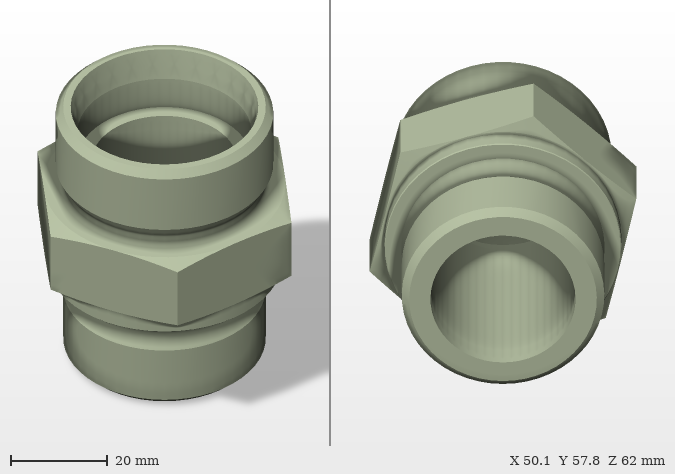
import cadquery as cq
import math

total_height = 62.0
bore_radius = 30.0 / 2

upper_stud_radius = 45.0 / 2
upper_thread_bottom = 47.25
socket_radius = 36.0 / 2
socket_mouth_radius = 19.4
socket_taper_depth = 6.65
socket_depth = 14.0
end_chamfer = 1.55

upper_neck_radius = 20.95
upper_fillet = 1.0

hex_across_flats = 50.05
hex_bottom = 26.1
hex_top = 42.05
hex_chamfer_angle = math.radians(15)

flange_radius = 49.0 / 2
flange_bottom = 22.0
flange_chamfer = 0.2

lower_stud_radius = 41.9 / 2
lower_thread_top = 14.45
lower_neck_radius = 19.2
lower_fillet = 1.35
lower_groove_top_radius = 21.0
lower_groove_top_angle = math.radians(24)

runout_angle = math.radians(30)


def arc_point(neck_radius, fillet, center_z, angle):
    """Point on a concave neck arc; a positive angle lies above the arc center."""
    radius = neck_radius + fillet * (1 - math.cos(angle))
    return (radius, center_z + fillet * math.sin(angle))


def runout_height(neck_radius, fillet, angle, end_radius):
    """Height from a neck arc's center to the end of the cone tangent to it."""
    arc_end_radius, arc_end_height = arc_point(neck_radius, fillet, 0, angle)
    return arc_end_height + (end_radius - arc_end_radius) / math.tan(angle)


def make_turned_body():
    """Revolved studs, undercuts and flange."""
    lower_arc_z = lower_thread_top + runout_height(
        lower_neck_radius, lower_fillet, runout_angle, lower_stud_radius
    )
    upper_arc_z = upper_thread_bottom - runout_height(
        upper_neck_radius, upper_fillet, runout_angle, upper_stud_radius
    )

    def lower_arc(angle):
        return arc_point(lower_neck_radius, lower_fillet, lower_arc_z, angle)

    def upper_arc(angle):
        return arc_point(upper_neck_radius, upper_fillet, upper_arc_z, angle)

    def hex_root_arc(angle):
        return arc_point(upper_neck_radius, upper_fillet, hex_top + upper_fillet, angle)

    profile = (
        cq.Workplane("XZ")
        .moveTo(0, 0)
        .lineTo(lower_stud_radius - end_chamfer, 0)
        .lineTo(lower_stud_radius, end_chamfer)
        .lineTo(lower_stud_radius, lower_thread_top)
        .lineTo(*lower_arc(-runout_angle))
        .threePointArc(lower_arc(0), lower_arc(lower_groove_top_angle))
        .lineTo(lower_groove_top_radius, flange_bottom)
        .lineTo(flange_radius - flange_chamfer, flange_bottom)
        .lineTo(flange_radius, flange_bottom + flange_chamfer)
        .lineTo(flange_radius, hex_top)
        .lineTo(*hex_root_arc(-math.pi / 2))
        .threePointArc(hex_root_arc(-math.pi / 4), hex_root_arc(0))
        .lineTo(*upper_arc(0))
        .threePointArc(upper_arc(runout_angle / 2), upper_arc(runout_angle))
        .lineTo(upper_stud_radius, upper_thread_bottom)
        .lineTo(upper_stud_radius, total_height - end_chamfer)
        .lineTo(upper_stud_radius - end_chamfer, total_height)
        .lineTo(0, total_height)
        .close()
    )
    return profile.revolve(360, (0, 0), (0, 1))


def make_hexagon():
    """Hexagon whose corners are turned off conically at both ends."""
    flat_radius = hex_across_flats / 2
    corner_radius = flat_radius / math.cos(math.pi / 6)
    corner_drop = (corner_radius - flat_radius) * math.tan(hex_chamfer_angle)
    prism = (
        cq.Workplane("XY", origin=(0, 0, hex_bottom))
        .polygon(6, 2 * corner_radius)
        .extrude(hex_top - hex_bottom)
        .rotate((0, 0, 0), (0, 0, 1), 30)
    )
    chamfer_envelope = (
        cq.Workplane("XZ")
        .moveTo(0, hex_bottom)
        .lineTo(flat_radius, hex_bottom)
        .lineTo(corner_radius, hex_bottom + corner_drop)
        .lineTo(corner_radius, hex_top - corner_drop)
        .lineTo(flat_radius, hex_top)
        .lineTo(0, hex_top)
        .close()
        .revolve(360, (0, 0), (0, 1))
    )
    return prism.intersect(chamfer_envelope)


def make_passage():
    """Through bore opening into a tapered socket at the top."""
    socket_floor = total_height - socket_depth
    return (
        cq.Workplane("XZ")
        .lineTo(bore_radius, 0)
        .lineTo(bore_radius, socket_floor)
        .lineTo(socket_radius, socket_floor)
        .lineTo(socket_radius, total_height - socket_taper_depth)
        .lineTo(socket_mouth_radius, total_height)
        .lineTo(0, total_height)
        .close()
        .revolve(360, (0, 0), (0, 1))
    )


result = make_turned_body().union(make_hexagon()).cut(make_passage())